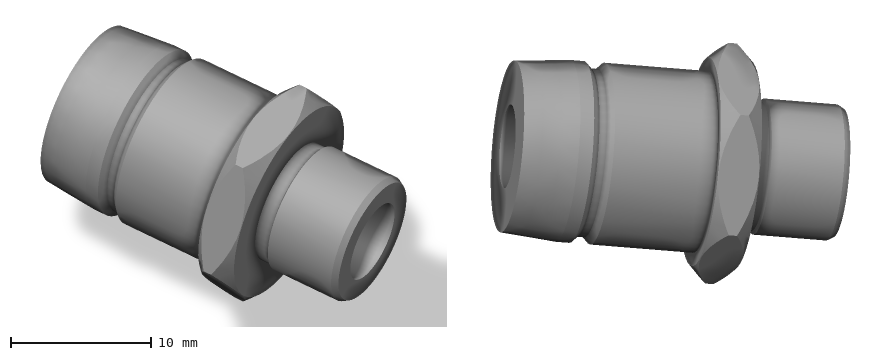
import cadquery as cq
import math

length = 24.0
bore_radius = 3.0

barrel_radius = 6.5
nose_length = 4.0
nose_angle = 5.0
nose_radius = barrel_radius - nose_length * math.tan(math.radians(nose_angle))

groove_start = 5.02
groove_depth = 0.48
groove_floor_width = 0.55
groove_floor_radius = barrel_radius - groove_depth
groove_floor_start = groove_start + groove_depth
groove_floor_end = groove_floor_start + groove_floor_width
groove_end = groove_floor_end + groove_depth

hex_start = 14.02
hex_width = 3.0
hex_end = hex_start + hex_width
hex_flats = 15.0
hex_sides = 6
hex_corner_radius = hex_flats / 2 / math.cos(math.pi / hex_sides)
hex_face_radius = 7.46
hex_chamfer = hex_corner_radius - hex_face_radius

neck_radius = 4.6
spigot_radius = 4.87
spigot_start = 18.1
spigot_lead_angle = 30.0
spigot_lead = (spigot_radius - neck_radius) * math.tan(math.radians(spigot_lead_angle))
end_chamfer = 0.45
end_radius = neck_radius


def revolve_about_x(points):
    """Revolve a closed (x, radius) outline about the X axis."""
    return cq.Workplane("XZ").polyline(points).close().revolve(360, (0, 0, 0), (1, 0, 0))


def make_turned_body():
    """Barrel, groove, neck and spigot as one turned piece."""
    return revolve_about_x([
        (0, 0),
        (0, nose_radius),
        (nose_length, barrel_radius),
        (groove_start, barrel_radius),
        (groove_floor_start, groove_floor_radius),
        (groove_floor_end, groove_floor_radius),
        (groove_end, barrel_radius),
        (hex_start, barrel_radius),
        (hex_start, neck_radius),
        (spigot_start, neck_radius),
        (spigot_start + spigot_lead, spigot_radius),
        (length - end_chamfer, spigot_radius),
        (length, end_radius),
        (length, 0),
    ])


def make_hexagon():
    """Hexagon with corners on the Y axis, chamfered at 45 degrees on both faces."""
    prism = (
        cq.Workplane("YZ", origin=(hex_start, 0, 0))
        .polygon(hex_sides, 2 * hex_corner_radius)
        .extrude(hex_width)
    )
    chamfer_envelope = revolve_about_x([
        (hex_start, 0),
        (hex_start, hex_face_radius),
        (hex_start + hex_chamfer, hex_corner_radius),
        (hex_end - hex_chamfer, hex_corner_radius),
        (hex_end, hex_face_radius),
        (hex_end, 0),
    ])
    return prism.intersect(chamfer_envelope)


def make_bore():
    """Plain hole through the whole length."""
    return cq.Workplane("YZ").circle(bore_radius).extrude(length)


result = make_turned_body().union(make_hexagon()).cut(make_bore())